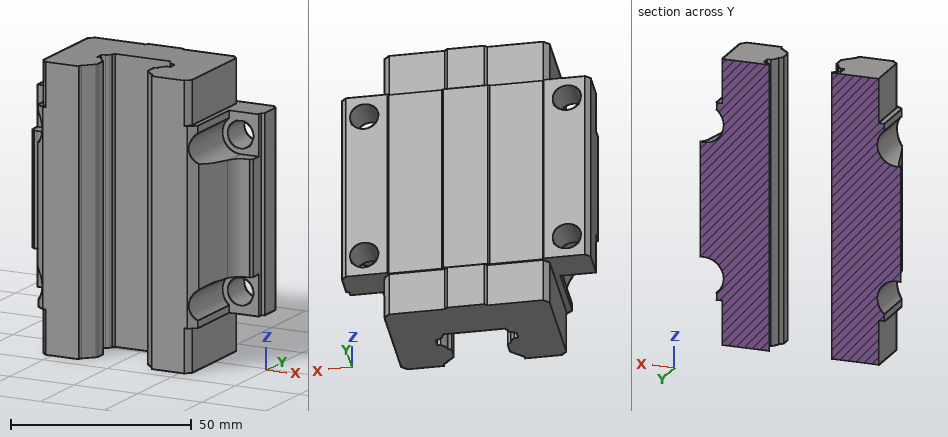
import cadquery as cq
import math


block_width = 70.0
block_height = 30.5
block_length = 84.0
steel_length = 58.0

half_width = block_width / 2
top_chamfer = 1.4
flange_bottom = 16.5
flange_edge_chamfer_x = 1.2
flange_edge_chamfer_y = 1.0
flank_fillet = 5.0
flank_draft = math.radians(16)
foot_half_width = 25.15
foot_corner_height = 2.0
foot_flat_half_width = 22.6

relief_depth = 0.4
relief_inner = 6.3
relief_outer = 22.0

edge_step_depth = 0.85
edge_step_top = 22.4
edge_step_chamfer = 0.65

hole_diameter = 8.0
hole_spacing_x = 57.0
hole_spacing_z = 45.0
flange_thickness = 10.0
spot_radius = 5.6
spot_wall = 24.95

cap_width = 46.5
cap_height = 29.6
cap_chamfer = 1.6
cap_pad_height = 30.35
cap_pad_half_width = 5.2

rail_top = 16.5
rail_top_half_width = 8.6
groove_half_width = 11.4
groove_top = 13.65
groove_bottom = 11.2
lip_half_width = 7.85
lip_top = 7.95
lip_bottom = 4.35
lip_fillet = 1.0


def extrude_along_z(profile, length):
    """Extrude an XY profile symmetrically about Z = 0."""
    return profile.extrude(length / 2, both=True)


def box_between(x_range, y_range, z_range):
    """Axis-aligned box given by its limits."""
    sizes = [high - low for low, high in (x_range, y_range, z_range)]
    corner = (x_range[0], y_range[0], z_range[0])
    return cq.Workplane("XY").box(*sizes, centered=False).translate(corner)


def make_steel_body():
    """Flanged body with drafted flanks blended into the flange underside."""
    blend_center_y = flange_bottom - flank_fillet
    blend_end_y = blend_center_y + flank_fillet * math.sin(flank_draft)
    flank_rise = blend_end_y - foot_corner_height
    blend_end_x = foot_half_width + flank_rise * math.tan(flank_draft)
    blend_start_x = blend_end_x + flank_fillet * math.cos(flank_draft)

    half = (
        cq.Workplane("XY")
        .moveTo(0, 0)
        .lineTo(foot_flat_half_width, 0)
        .lineTo(foot_half_width, foot_corner_height)
        .lineTo(blend_end_x, blend_end_y)
        .radiusArc((blend_start_x, flange_bottom), flank_fillet)
        .lineTo(half_width - flange_edge_chamfer_x, flange_bottom)
        .lineTo(half_width, flange_bottom + flange_edge_chamfer_y)
        .lineTo(half_width, block_height - top_chamfer)
        .lineTo(half_width - top_chamfer, block_height)
        .lineTo(relief_outer, block_height)
        .lineTo(relief_outer - relief_depth, block_height - relief_depth)
        .lineTo(relief_inner + relief_depth, block_height - relief_depth)
        .lineTo(relief_inner, block_height)
        .lineTo(0, block_height)
        .close()
    )
    half_body = extrude_along_z(half, steel_length)
    return half_body.union(half_body.mirror("YZ"))


def make_edge_step():
    """Cutter for the step along the +X flange edge, chamfered along its lower corner."""
    step_x = half_width - edge_step_depth
    profile = (
        cq.Workplane("XY")
        .moveTo(step_x - edge_step_chamfer, flange_bottom)
        .lineTo(half_width, flange_bottom)
        .lineTo(half_width, edge_step_top)
        .lineTo(step_x, edge_step_top - edge_step_depth / 2)
        .lineTo(step_x, flange_bottom + edge_step_chamfer)
        .close()
    )
    return extrude_along_z(profile, steel_length)


def make_mounting_cutter(x_sign, z_sign):
    """Hole and spot face of one flange corner; the spot face opens to both edges."""
    hole_x = hole_spacing_x / 2
    hole_z = hole_spacing_z / 2
    spot_face_y = block_height - flange_thickness
    vertical = cq.Workplane("XZ", origin=(hole_x, 0, hole_z))
    hole = vertical.circle(hole_diameter / 2).extrude(-block_height)
    spot = vertical.circle(spot_radius).extrude(-spot_face_y)
    outer_part = box_between(
        (hole_x, half_width),
        (0, spot_face_y),
        (hole_z - spot_radius, steel_length / 2),
    )
    end_part = box_between(
        (spot_wall, half_width),
        (0, spot_face_y),
        (hole_z, steel_length / 2),
    )
    cutter = hole.union(spot).union(outer_part).union(end_part)
    if x_sign < 0:
        cutter = cutter.mirror("YZ")
    if z_sign < 0:
        cutter = cutter.mirror("XY")
    return cutter


def make_end_cap(z_sign):
    """Chamfered end cap with a low pad on top, against one end of the steel body."""
    cap_length = (block_length - steel_length) / 2
    start = cq.Workplane("XY", origin=(0, 0, z_sign * steel_length / 2))
    cap = start.center(0, cap_height / 2).rect(cap_width, cap_height)
    cap = cap.extrude(z_sign * cap_length).edges("|Z").chamfer(cap_chamfer)
    pad_base = cap_pad_half_width + cap_pad_height - cap_height
    pad = start.polyline([
        (-pad_base, cap_height),
        (pad_base, cap_height),
        (cap_pad_half_width, cap_pad_height),
        (-cap_pad_half_width, cap_pad_height),
    ]).close().extrude(z_sign * cap_length)
    return cap.union(pad)


def make_rail_opening():
    """Cutter for the rail channel, with a rounded nose above and below each groove."""
    upper_nose = ((9.1, 15.7), (9.55, 14.75), (10.5, 14.15))
    lower_nose = ((10.35, groove_bottom), (9.45, 10.15), (8.85, 9.0))
    lip_slope_end = lip_bottom - (groove_half_width - lip_half_width)
    half = (
        cq.Workplane("XY")
        .moveTo(0, rail_top)
        .lineTo(rail_top_half_width, rail_top)
        .lineTo(*upper_nose[0])
        .threePointArc(*upper_nose[1:])
        .lineTo(groove_half_width, groove_top)
        .lineTo(groove_half_width, groove_bottom)
        .lineTo(*lower_nose[0])
        .threePointArc(*lower_nose[1:])
        .lineTo(lip_half_width, lip_top)
        .lineTo(lip_half_width, lip_bottom)
        .lineTo(groove_half_width, lip_slope_end)
        .lineTo(groove_half_width, 0)
        .lineTo(0, 0)
        .close()
    )
    opening = extrude_along_z(half, block_length)
    for corner in ((lip_half_width, lip_bottom), (groove_half_width, lip_slope_end)):
        edge = cq.selectors.NearestToPointSelector((*corner, 0))
        opening = opening.edges("|Z").edges(edge).fillet(lip_fillet)
    return opening.union(opening.mirror("YZ"))


body = make_steel_body().cut(make_edge_step())
for z_side in (-1, 1):
    for x_side in (-1, 1):
        body = body.cut(make_mounting_cutter(x_side, z_side))
    body = body.union(make_end_cap(z_side))

result = body.cut(make_rail_opening())